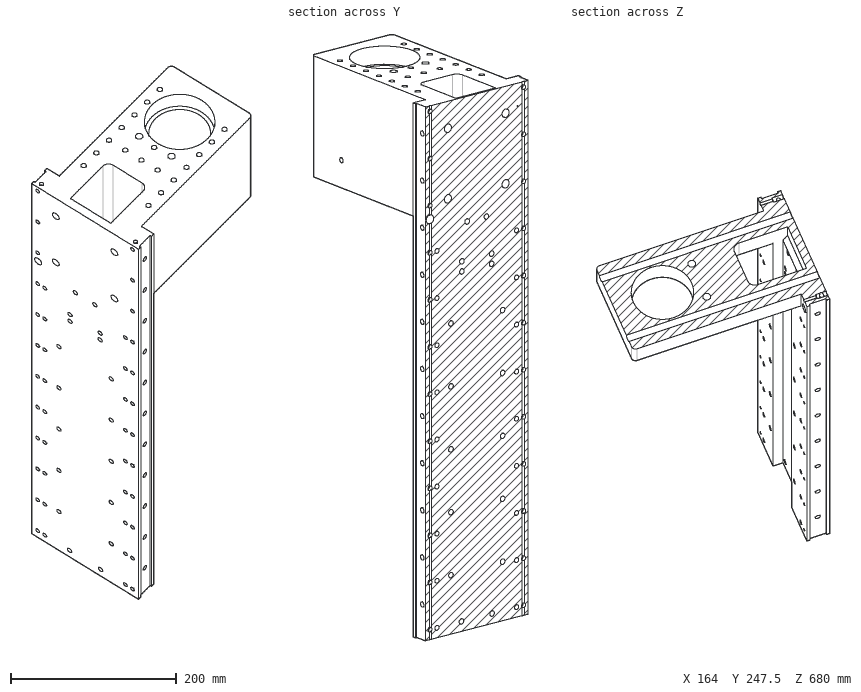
import cadquery as cq
plate_width = 164.0
plate_height = 680
plate_thickness = 30.0
plate_mid_y = plate_thickness / 2

relief_depth = 2.0
relief_width = 21.0

overall_depth = 247.5
block_width = 126.0
block_height = 154.5
block_corner_radius = 5.5
block_bottom = plate_height - block_height

bore_y = 185.0
bore_diameter = 75
counterbore_diameter = 85.0
counterbore_depth = 23.0

window_width = 62.0
window_back = 83.0
window_corner_radius = 9.0
window_front = 11.0
channel_front = 17.0
ramp_height = 7.5

clamp_hole_diameter = 10.0
dowel_hole_diameter = 9.0
plate_hole_diameter = 6.4
tapped_hole_diameter = 6.4
port_diameter = 6.4
back_port_diameter = 11.0
edge_hole_diameter = 5.6
pilot_hole_diameter = 3.0
inner_hole_diameter = 5.6
end_hole_diameter = 5.0
blind_depth = 13.5

row_count = 12
through_row_count = 9
first_row_z = 13.0
last_row_z = 672.5
row_pitch = (last_row_z - first_row_z) / (row_count - 1)
edge_hole_x = 73.0
inner_hole_x = 62.0
side_hole_count = 11
first_side_hole_z = 45.0
mount_count = 5
first_mount_z = 75.5
last_mount_z = 396.0
mount_pitch = (last_mount_z - first_mount_z) / (mount_count - 1)
mount_x = 40.0

clamp_square = 90.0
clamp_centre_z = 600.5

centre_pairs = [(15.0, 520.0), (23.0, 471.0), (23.0, 458.0), (24.0, first_row_z)]

grid_half_width = 49.5
grid_pitch = grid_half_width / 2
grid_first_y = 60.5
grid_row_count = 7
cross_row = 2
short_row = 3
dowel_x = grid_pitch
dowel_y = 137.5

end_hole_x = 72.0
end_hole_y = 7.0

port_y = 190.5
port_z = 561.0
back_port_x = -73.0
back_port_z = 535.0
back_port_skin = 1.1


def box_between(x_range, y_range, z_range):
    """Box given by its lower and upper limit along each axis."""
    limits = (x_range, y_range, z_range)
    sizes = [upper - lower for lower, upper in limits]
    corner = tuple(lower for lower, upper in limits)
    return cq.Workplane("XY").box(*sizes, centered=False).translate(corner)


def pins(points, diameter, length, direction):
    """Cylinders that start at the points and run along the direction."""
    solids = [
        cq.Solid.makeCylinder(diameter / 2, length, cq.Vector(*point), cq.Vector(*direction))
        for point in points
    ]
    return cq.Workplane("XY").newObject([cq.Compound.makeCompound(solids)])


def drilled(points, diameter, depth, direction):
    """Blind holes that end in a 90 degree drill point."""
    radius = diameter / 2
    tips = []
    for point in points:
        tip_base = cq.Vector(*point) + cq.Vector(*direction) * depth
        tips.append(cq.Solid.makeCone(radius, 0, radius, tip_base, cq.Vector(*direction)))
    shafts = pins(points, diameter, depth, direction)
    return shafts.union(cq.Workplane("XY").newObject([cq.Compound.makeCompound(tips)]))


def mirrored(x, y, z):
    """The point and its mirror image across the X = 0 plane."""
    return [(-x, y, z), (x, y, z)]


def plate():
    """Upright plate with a shallow relief down each long side."""
    half_width = plate_width / 2
    body = box_between((-half_width, half_width), (0, plate_thickness), (0, plate_height))
    relief = cq.Workplane("XY").rect(relief_depth * 2, relief_width).extrude(plate_height)
    for x in (-half_width, half_width):
        body = body.cut(relief.translate((x, plate_mid_y, 0)))
    return body


def head_block():
    """Block whose two rear vertical corners are rounded."""
    half_width = block_width / 2
    block = box_between((-half_width, half_width), (0, overall_depth), (block_bottom, plate_height))
    return block.edges("|Z and >Y").fillet(block_corner_radius)


def stepped_bore():
    """Vertical through bore with a wider upper part."""
    bore = pins([(0, bore_y, block_bottom)], bore_diameter, block_height, (0, 0, 1))
    counterbore = pins([(0, bore_y, plate_height)], counterbore_diameter, counterbore_depth, (0, 0, -1))
    return bore.union(counterbore)


def window_and_channel():
    """Vertical opening through the block that continues to the foot of the plate."""
    half_width = window_width / 2
    window = box_between((-half_width, half_width), (channel_front, window_back), (0, plate_height))
    window = window.edges("|Z and >Y").fillet(window_corner_radius)
    ramped_pocket = (
        cq.Workplane("YZ")
        .polyline([
            (channel_front, block_bottom),
            (channel_front, plate_height),
            (window_front, plate_height),
            (window_front, block_bottom + ramp_height),
        ])
        .close()
        .extrude(half_width, both=True)
    )
    return window.union(ramped_pocket)


def plate_holes():
    """Holes in the plate's front; the edge holes are counterbored."""
    back = (0, 1, 0)
    row_heights = [first_row_z + row * row_pitch for row in range(row_count)]
    edge_points = []
    inner_points = []
    for row, z in enumerate(row_heights):
        edge_points += mirrored(edge_hole_x, 0, z)
        if row < through_row_count:
            inner_points += mirrored(inner_hole_x, 0, z)
    mount_points = []
    for index in range(mount_count):
        mount_points += mirrored(mount_x, 0, first_mount_z + index * mount_pitch)
    for x, z in centre_pairs:
        mount_points += mirrored(x, 0, z)
    clamp_points = []
    for side in (-1, 1):
        clamp_points += mirrored(clamp_square / 2, 0, clamp_centre_z + side * clamp_square / 2)
    return [
        pins(edge_points, edge_hole_diameter, blind_depth, back),
        pins(edge_points, pilot_hole_diameter, plate_thickness, back),
        pins(inner_points, inner_hole_diameter, plate_thickness, back),
        pins(mount_points, plate_hole_diameter, plate_thickness, back),
        pins(clamp_points, clamp_hole_diameter, overall_depth, back),
    ]


def side_holes():
    """A column of blind holes in each relieved side."""
    holes = []
    for side in (-1, 1):
        points = [
            (side * plate_width / 2, plate_mid_y, first_side_hole_z + index * row_pitch)
            for index in range(side_hole_count)
        ]
        holes.append(drilled(points, tapped_hole_diameter, blind_depth, (-side, 0, 0)))
    return holes


def top_holes():
    """Blind grid and through dowel holes of the block, and the plate's lengthwise holes."""
    down = (0, 0, -1)
    grid_points = []
    for row in range(grid_row_count):
        y = grid_first_y + row * grid_pitch
        grid_points += mirrored(grid_half_width, y, plate_height)
        if row == cross_row:
            grid_points += mirrored(grid_pitch, y, plate_height)
        if row in (cross_row, short_row):
            grid_points.append((0, y, plate_height))
    return [
        drilled(grid_points, tapped_hole_diameter, blind_depth, down),
        pins(mirrored(dowel_x, dowel_y, plate_height), dowel_hole_diameter, block_height, down),
        pins(mirrored(end_hole_x, end_hole_y, plate_height), end_hole_diameter, plate_height, down),
    ]


def side_port():
    """Blind hole in the -X side of the block."""
    start = (-block_width / 2, port_y, port_z)
    return pins([start], port_diameter, blind_depth, (1, 0, 0))


def back_port():
    """Blind hole in the plate's back, beside the block."""
    start = (back_port_x, plate_thickness, back_port_z)
    return pins([start], back_port_diameter, plate_thickness - back_port_skin, (0, -1, 0))


result = plate().union(head_block()).cut(stepped_bore()).cut(window_and_channel())
for holes in plate_holes() + side_holes() + top_holes() + [side_port(), back_port()]:
    result = result.cut(holes)